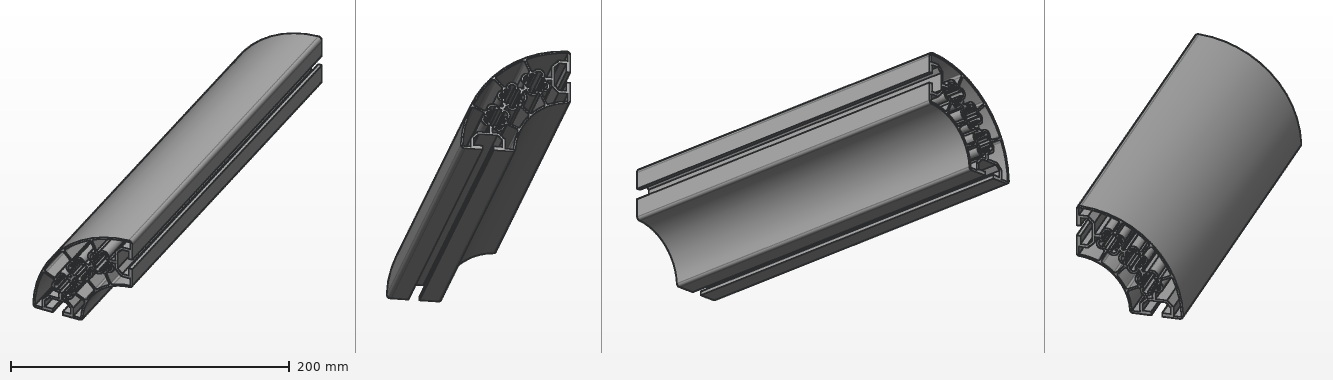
import cadquery as cq
import math

length = 300.0
middle_radius = 60.0
radial_depth = 120 / 3
outer_radius = middle_radius + radial_depth / 2
inner_radius = middle_radius - radial_depth / 2
wall = 1.5
face_wall = 1.8
outer_corner_radius = 3.0
inner_corner_radius = 2.5

slot_opening = 8.0
lip_height = 3.0
slot_width = 20.7
slot_height = 11.7
slot_chamfer = 3.5
housing_width = 25.2
housing_height = 13.5
housing_chamfer = 4.8

channel_angles = (25, 45, 65)
bore_radius = 6.0
tube_half_width = 7.2
lobe_height = 10.8
lobe_half_width = 4.2
pocket_height = 9.0
pocket_half_width = 2.7
pocket_base_height = 7.2
neck_half_width = 1.5
groove_half_width = 1.2
groove_height = 7.2

radial_web = 1.5
link_web = 2.5
housing_link_radius = 58.0
web_fillet = 1.5


def prism(sketch):
    """Extrude a closed XZ outline over the full length, centred on Y = 0."""
    return sketch.extrude(length / 2, both=True)


def ring_quarter(small, large, end_gap):
    """Quarter ring whose two flat ends stand end_gap inside the X = 0 and Z = 0 planes."""
    large_end = math.sqrt(large**2 - end_gap**2)
    small_end = math.sqrt(small**2 - end_gap**2)
    diagonal = math.sqrt(0.5)
    return prism(
        cq.Workplane("XZ")
        .moveTo(-large_end, end_gap)
        .threePointArc((-large * diagonal, large * diagonal), (-end_gap, large_end))
        .lineTo(-end_gap, small_end)
        .threePointArc((-small * diagonal, small * diagonal), (-small_end, end_gap))
        .close()
    )


def turned(solid, angle):
    """Turn a solid about the Y axis, from the -X direction towards +Z."""
    return solid.rotate((0, 0, 0), (0, 1, 0), angle)


def on_both_ends(solid):
    """Join a solid at the lower end face with its mirror image at the other end face."""
    return solid.union(turned(solid.mirror("XY"), 90))


def on_channels(solid):
    """Copy a solid modelled on the Y axis, with X pointing radially, to every channel centre."""
    moved = solid.translate((-middle_radius, 0, 0))
    copies = turned(moved, channel_angles[0])
    for angle in channel_angles[1:]:
        copies = copies.union(turned(moved, angle))
    return copies


def slot_section(width, height, chamfer, base):
    """Chamfered slot section standing on the lower end face, from height base up to height."""
    half = width / 2
    points = [(half, base), (half, height - chamfer), (half - chamfer, height)]
    points += [(-x, z) for x, z in reversed(points)]
    outline = [(x - middle_radius, z) for x, z in points]
    return prism(cq.Workplane("XZ").polyline(outline).close())


def four_turns(solid):
    """Join a solid with its copies turned by 90, 180 and 270 degrees about the Y axis."""
    joined = solid
    for turn in (90, 180, 270):
        joined = joined.union(turned(solid, turn))
    return joined


def arched(half_width, base, height):
    """Bar under an arch: a flat base at height base and an arc rising to height."""
    return prism(
        cq.Workplane("XZ")
        .moveTo(-half_width, base)
        .threePointArc((0, height), (half_width, base))
        .close()
    )


def rib(half_width, height):
    """Rectangular bar from the Y axis up to the given height."""
    return prism(cq.Workplane("XZ").center(0, height / 2).rect(2 * half_width, height))


def channel_body():
    tube = prism(cq.Workplane("XZ").rect(2 * tube_half_width, 2 * tube_half_width))
    lobe = arched(lobe_half_width, tube_half_width, lobe_height)
    return turned(tube.union(four_turns(lobe)), 45)


def channel_hollow():
    bore = prism(cq.Workplane("XZ").circle(bore_radius))
    neck = rib(neck_half_width, pocket_base_height)
    pocket = arched(pocket_half_width, pocket_base_height, pocket_height)
    lobes = turned(four_turns(neck.union(pocket)), 45)
    grooves = four_turns(rib(groove_half_width, groove_height))
    return bore.union(lobes).union(grooves)


def radial_webs():
    web_length = outer_radius - inner_radius - wall
    web = prism(cq.Workplane("XZ").rect(web_length, radial_web))
    return on_channels(web)


def web_roots(solid):
    """Edges where the radial webs meet the curved walls, leaving out the ends of those walls."""
    tolerance = 0.03
    cavity_radii = (inner_radius + wall, outer_radius - wall)
    roots = []
    for edge in solid.edges("|Y").vals():
        x, _, z = edge.Center().toTuple()
        radius = math.hypot(x, z)
        on_wall = any(abs(radius - cavity_radius) < tolerance for cavity_radius in cavity_radii)
        if on_wall and min(-x, z) > 2 * face_wall:
            roots.append(edge)
    return roots


def link_webs():
    """Webs joining the channels to each other and to the slot housings."""
    first, second = channel_angles[:2]
    half_spread = math.radians((second - first) / 2)
    chord = 2 * middle_radius * math.sin(half_spread)
    bar = prism(cq.Workplane("XZ").rect(link_web, chord))
    bar = bar.translate((-middle_radius * math.cos(half_spread), 0, 0))
    channel_link = turned(bar, (first + second) / 2)

    tilt = math.radians(first)
    corner_reach = tube_half_width * math.sqrt(2)
    top = middle_radius * math.sin(tilt) - corner_reach * math.cos(tilt) + link_web
    housing_link = prism(cq.Workplane("XZ").rect(link_web, top - slot_height))
    housing_link = housing_link.translate((-housing_link_radius, 0, (top + slot_height) / 2))
    return on_both_ends(channel_link.union(housing_link))


def shell():
    """Hollow quarter ring with rounded outer corners."""
    solid = ring_quarter(inner_radius, outer_radius, 0)
    solid = solid.edges("|Y").edges("<X or >Z").fillet(outer_corner_radius)
    inner_corners = cq.selectors.BoxSelector(
        (-inner_radius - wall, -length, -wall), (wall, length, inner_radius + wall)
    )
    solid = solid.edges("|Y").edges(inner_corners).fillet(inner_corner_radius)
    return solid.cut(ring_quarter(inner_radius + wall, outer_radius - wall, face_wall))


def slot_housings():
    return on_both_ends(slot_section(housing_width, housing_height, housing_chamfer, 0))


def slot_hollows():
    """The wide inner part of each T-slot and its narrow mouth through the face."""
    chamber = slot_section(slot_width, slot_height, slot_chamfer, lip_height)
    mouth = prism(cq.Workplane("XZ").rect(slot_opening, 2 * slot_height))
    mouth = mouth.translate((-middle_radius, 0, 0))
    return on_both_ends(chamber.union(mouth))


body = shell().union(radial_webs())
body = body.newObject(web_roots(body)).fillet(web_fillet)
body = body.union(link_webs())
body = body.union(slot_housings())
body = body.union(on_channels(channel_body()))
body = body.cut(on_channels(channel_hollow()))
result = body.cut(slot_hollows())